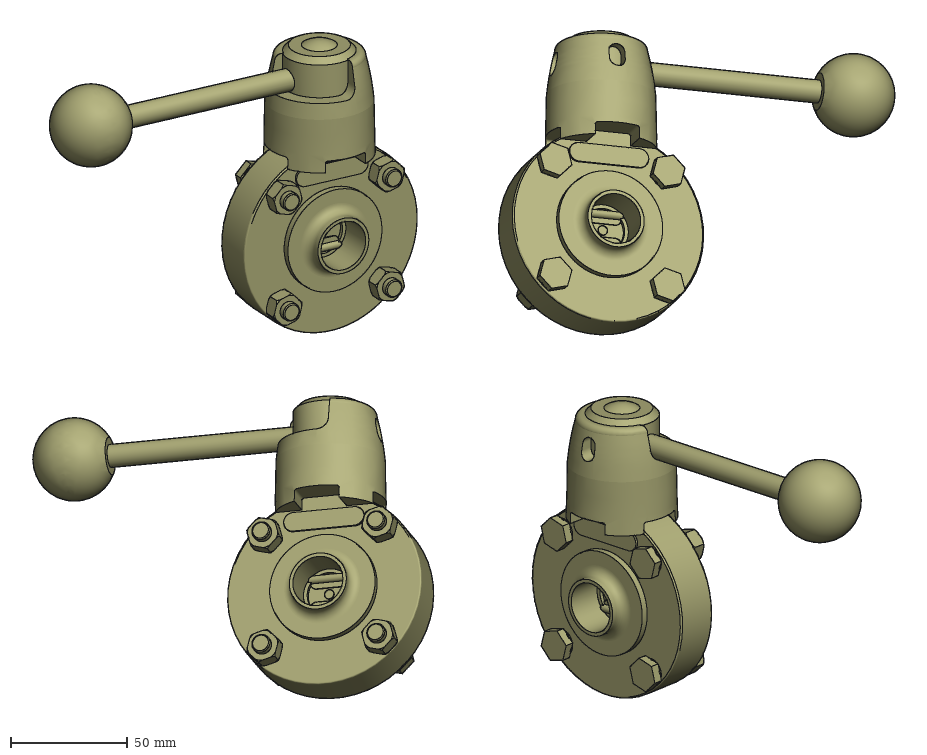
import cadquery as cq
import math


body_radius = 43.4
body_half_width = 9.8
rim_fillet = 0.7
hub_ring_radius = 23.5
hub_ring_face = 13.0

bore_radius = 22.3 / 2
pipe_radius = 25.5 / 2
pipe_end = 20.0
flare_end = 17.2
flare_radius = flare_end - hub_ring_face

seat_radius = 9.5
seat_half_width = 3.5
plate_half_width = 1.8
pad_half_width = 2.5
pad_length = 16.9
pad_height = 5.6
pad_center_z = 5.8
rib_radius = 1.8
rib_length = 17.5
rib_center_z = 7.2
pin_radius = 2.1

label_length = 35.8
label_height = 8.5
label_center_z = 31.5
label_face = 10.9

bolt_offset = 25.6
bolt_turn = 15.0
hex_across_flats = 13.0
hex_corner_diameter = hex_across_flats / math.cos(math.radians(30))
head_inner_face = 11.0
head_outer_face = 15.3
washer_radius = 12.1 / 2
nut_end = 16.7
nut_chamfer = 0.7
shank_radius = 4.0
shank_end = 19.8
shank_chamfer = 0.5

skirt_bottom = 36.7
cap_bottom = 42.2
cap_radius = 24.0
cap_seam_radius = 23.5
cap_seam_z = 61.1
shoulder_mid = (22.1, 71.3)
shoulder_radius = 20.0
shoulder_z = 81.2
cap_edge_round = 2.8
cap_top = shoulder_z + cap_edge_round
notch_half_width = 10.0
notch_corner = 1.2

stem_radius = 16.2
stem_top = 86.5
stem_chamfer = 2.8
dome_radius = 7.7
dome_height = 2.3

rod_radius = 10.0 / 2
rod_z = 73.5
ball_radius = 18.0
ball_center_y = -114.3
ball_flat_y = -98.4

slot_width = 7.2
slot_height = 10.4


def x_cylinder(radius, start, end):
    return cq.Workplane("YZ").workplane(offset=start).circle(radius).extrude(end - start)


def make_body():
    body = x_cylinder(body_radius, -body_half_width, body_half_width).edges().fillet(rim_fillet)
    labels = (
        cq.Workplane("YZ")
        .center(0, label_center_z)
        .slot2D(label_length, label_height)
        .extrude(label_face, both=True)
    )
    return body.union(labels)


def make_pipe():
    """Hub rings and flared pipe stubs as one turned shape about X."""
    flare_foot = pipe_radius + flare_radius
    bend = flare_radius * (1 - math.sqrt(0.5))
    profile = (
        cq.Workplane("XY")
        .lineTo(0, hub_ring_radius)
        .lineTo(hub_ring_face, hub_ring_radius)
        .lineTo(hub_ring_face, flare_foot)
        .threePointArc((hub_ring_face + bend, pipe_radius + bend), (flare_end, pipe_radius))
        .lineTo(pipe_end, pipe_radius)
        .lineTo(pipe_end, 0)
        .close()
    )
    half = profile.revolve(360, (0, 0, 0), (1, 0, 0))
    return half.union(half.mirror("YZ"))


def make_butterfly():
    """Closed valve plate in its seat ring, with a rib above and below the center pin."""
    seat = x_cylinder(bore_radius, -seat_half_width, seat_half_width).cut(
        x_cylinder(seat_radius, -seat_half_width, seat_half_width)
    )
    plate = x_cylinder(bore_radius, -plate_half_width, plate_half_width)
    butterfly = seat.union(plate).union(x_cylinder(pin_radius, -pad_half_width, pad_half_width))
    for side in (1, -1):
        pad = (
            cq.Workplane("YZ")
            .center(0, side * pad_center_z)
            .slot2D(pad_length, pad_height)
            .extrude(pad_half_width, both=True)
        )
        butterfly = butterfly.union(pad)
        for face in (1, -1):
            rib = (
                cq.Workplane("XZ")
                .workplane(offset=-rib_length / 2)
                .center(face * pad_half_width, side * rib_center_z)
                .circle(rib_radius)
                .extrude(rib_length)
            )
            butterfly = butterfly.union(rib)
    return butterfly.intersect(x_cylinder(bore_radius, -pipe_end, pipe_end))


def make_hex(start, end):
    return (
        cq.Workplane("YZ")
        .workplane(offset=start)
        .polygon(6, hex_corner_diameter)
        .extrude(end - start)
    )


def make_bolt():
    """Bolt along X with its head on -X and its nut on +X."""
    head = make_hex(-head_outer_face, -head_inner_face)
    washer = x_cylinder(washer_radius, -head_inner_face, -body_half_width)
    nut_round = x_cylinder(hex_corner_diameter / 2, body_half_width, nut_end).edges().chamfer(nut_chamfer)
    nut = make_hex(body_half_width, nut_end).intersect(nut_round)
    shank = x_cylinder(shank_radius, -head_inner_face, shank_end).faces(">X").chamfer(shank_chamfer)
    return head.union(washer).union(nut).union(shank)


def make_bolts():
    bolt = make_bolt().rotate((0, 0, 0), (1, 0, 0), bolt_turn).translate((0, bolt_offset, bolt_offset))
    bolts = bolt
    for quarter in range(1, 4):
        bolts = bolts.union(bolt.rotate((0, 0, 0), (1, 0, 0), 90 * quarter))
    return bolts


def make_lever_window():
    """Quarter turn from -Y to +X where the rod swings between stem and cap, open at the top."""
    reach = 2 * cap_radius
    floor_z = rod_z - rod_radius
    rod_along_x = x_cylinder(rod_radius, 0, reach).translate((0, 0, rod_z))
    rod_along_y = cq.Workplane("XZ").center(0, rod_z).circle(rod_radius).extrude(reach)
    above_x = cq.Workplane("XY").box(reach, 2 * rod_radius, reach, (False, True, False))
    above_y = cq.Workplane("XY").box(2 * rod_radius, reach, reach, (True, False, False))
    sweep = (
        cq.Workplane("XY")
        .box(reach, reach, reach, (False, False, False))
        .translate((0, -reach, floor_z))
    )
    return (
        sweep.union(rod_along_x)
        .union(rod_along_y)
        .union(above_x.translate((0, 0, rod_z)))
        .union(above_y.translate((0, -reach, rod_z)))
    )


def make_notches():
    """Notches in the skirt on four sides, each ending at a flat beside the body."""
    height = cap_bottom - skirt_bottom
    notch = (
        cq.Workplane("XY")
        .box(cap_radius, 2 * notch_half_width, height, (False, True, False))
        .edges("|X and >Z")
        .fillet(notch_corner)
        .translate((body_half_width, 0, skirt_bottom))
    )
    notches = notch
    for quarter in range(1, 4):
        notches = notches.union(notch.rotate((0, 0, 0), (0, 0, 1), 90 * quarter))
    return notches


def make_detent_slots():
    slot = (
        cq.Workplane("YZ")
        .center(0, rod_z)
        .slot2D(slot_height, slot_width, 90)
        .extrude(-cap_radius)
    )
    return slot.union(slot.rotate((0, 0, 0), (0, 0, 1), -90))


def make_cap():
    edge_center_radius = shoulder_radius - cap_edge_round
    edge_reach = cap_edge_round * math.sqrt(0.5)
    edge_mid = (edge_center_radius + edge_reach, shoulder_z + edge_reach)
    cap = (
        cq.Workplane("XZ")
        .moveTo(0, skirt_bottom)
        .lineTo(cap_radius, skirt_bottom)
        .lineTo(cap_seam_radius, cap_seam_z)
        .threePointArc(shoulder_mid, (shoulder_radius, shoulder_z))
        .threePointArc(edge_mid, (edge_center_radius, cap_top))
        .lineTo(0, cap_top)
        .close()
        .revolve(360, (0, 0, 0), (0, 1, 0))
    )
    return cap.cut(make_lever_window()).cut(make_detent_slots()).cut(make_notches())


def make_stem_head():
    dome_sphere = (dome_radius**2 + dome_height**2) / (2 * dome_height)
    stem = (
        cq.Workplane("XY")
        .workplane(offset=cap_bottom)
        .circle(stem_radius)
        .extrude(stem_top - cap_bottom)
        .faces(">Z")
        .chamfer(stem_chamfer)
    )
    dome = (
        cq.Workplane("XZ")
        .moveTo(0, stem_top)
        .lineTo(dome_radius, stem_top)
        .radiusArc((0, stem_top + dome_height), -dome_sphere)
        .close()
        .revolve(360, (0, 0, 0), (0, 1, 0))
    )
    return stem.union(dome)


def make_lever():
    rod = cq.Workplane("XZ").center(0, rod_z).circle(rod_radius).extrude(-ball_center_y)
    ball = cq.Workplane("XY").sphere(ball_radius).translate((0, ball_center_y, rod_z))
    flat_cut = (
        cq.Workplane("XY")
        .box(2 * ball_radius, 2 * ball_radius, 2 * ball_radius, (True, False, True))
        .translate((0, ball_flat_y, rod_z))
    )
    return rod.union(ball.cut(flat_cut))


bore = x_cylinder(bore_radius, -pipe_end, pipe_end)
result = (
    make_body()
    .union(make_pipe())
    .cut(bore)
    .union(make_butterfly())
    .union(make_cap())
    .union(make_stem_head())
    .union(make_lever())
    .union(make_bolts())
)